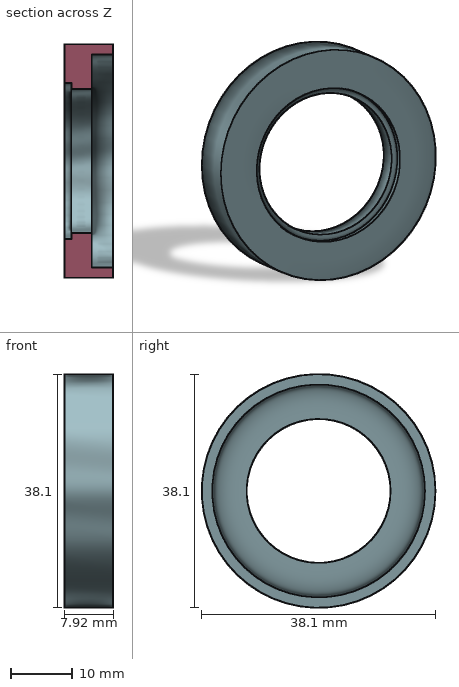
import cadquery as cq

outer_diameter = 38.1
ring_width = 7.92
bore_diameter = 23.4
bore_length = 3.3
seat_diameter = 25.4
seat_depth = 1.15
recess_diameter = 34.67

recess_start = seat_depth + bore_length
recess_depth = ring_width - recess_start


def disc(diameter, start, length):
    """Solid cylinder on the X axis, from X = start towards +X."""
    return cq.Workplane("YZ", origin=(start, 0, 0)).circle(diameter / 2).extrude(length)


body = disc(outer_diameter, 0, ring_width)
seat = disc(seat_diameter, 0, seat_depth)
bore = disc(bore_diameter, 0, ring_width)
recess = disc(recess_diameter, recess_start, recess_depth)

result = body.cut(seat).cut(bore).cut(recess)